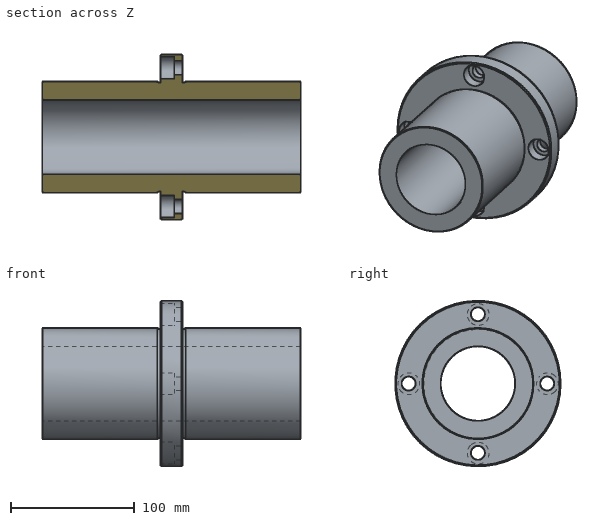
import cadquery as cq

length = 209.0
tube_diameter = 90.0
bore_diameter = 60.0
end_chamfer = 0.6

flange_diameter = 134.0
flange_thickness = 18.0
flange_chamfer = 1.0

groove_width = 2.5
groove_depth = 1.0

hole_count = 4
hole_circle_diameter = 112.0
hole_diameter = 11.0
counterbore_diameter = 17.5
counterbore_depth = 11.0

tube_radius = tube_diameter / 2
flange_face = flange_thickness / 2


def make_cylinder(diameter, start, end):
    """Solid cylinder on the X axis between two X positions."""
    return cq.Workplane("YZ", origin=(start, 0, 0)).circle(diameter / 2).extrude(end - start)


def make_groove():
    """Ring cutter for the groove on the +X side of the flange.

    The concave floor runs parallel to the axis where it meets the flange and curves up to the tube surface.
    """
    floor_radius = (groove_width**2 + groove_depth**2) / (2 * groove_depth)
    profile = (
        cq.Workplane("XY")
        .moveTo(flange_face, tube_radius)
        .lineTo(flange_face, tube_radius - groove_depth)
        .radiusArc((flange_face + groove_width, tube_radius), -floor_radius)
        .close()
    )
    return profile.revolve(360, (0, 0, 0), (1, 0, 0))


def drill_mounting_holes(body):
    """Cut the ring of through holes and their counterbores from the -X flange face."""
    return (
        body.copyWorkplane(cq.Workplane("YZ", origin=(-flange_face, 0, 0)))
        .transformed(rotate=(0, 180, 0))
        .polarArray(hole_circle_diameter / 2, 0, 360, hole_count)
        .cboreHole(hole_diameter, counterbore_diameter, counterbore_depth, flange_thickness)
    )


tube = make_cylinder(tube_diameter, -length / 2, length / 2).edges().chamfer(end_chamfer)
flange = make_cylinder(flange_diameter, -flange_face, flange_face).edges().chamfer(flange_chamfer)
body = tube.union(flange)

right_groove = make_groove()
body = body.cut(right_groove).cut(right_groove.mirror("YZ"))

body = drill_mounting_holes(body)
result = body.cut(make_cylinder(bore_diameter, -length / 2, length / 2))